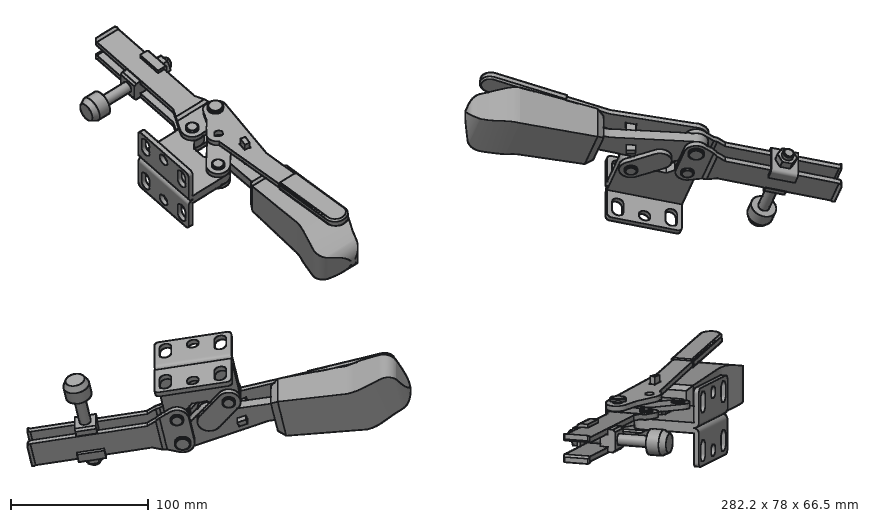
import cadquery as cq
import math


plate = 4.0
core_half = plate
outer_half = core_half + plate
eye_radius = 8.7
pin_radius = 3.7
through_all = 282.2

arm_y = 55.3
pivot_spread = 11.0
pivot_x = 111.2
handle_pivot = (pivot_x, arm_y + pivot_spread)
base_pivot = (pivot_x, arm_y - pivot_spread)
link_base_pivot = (151.2, 35.3)
link_handle_pivot = (134.0, 50.5)

head_height = 1.7
head_chamfer = 0.8
head_radius = 4.8
big_head_radius = 6.0

base_left = 103.0
base_right = link_base_pivot[0] + eye_radius
base_height = 58.5
flange_corner = 3.5
mount_hole = 8.7
slot_length = 15.8
slot_spacing = 40.5
slot_z = 18.0
round_hole_z = 21.5
notch_floor = 34.7
notch_left = 124.2
notch_right = 135.2
notch_entry = 4.8

arm_width = 20.3
arm_gap_half = 5.0
arm_taper_x = 89.0
jog_start = 96.0
jog_end = 99.0
tip_flare_length = 2.5
tip_flare = 1.55
tip_corner = 1.0

spindle_x = 44.3
spindle_radius = 4.2
spindle_top = 78.0
spindle_chamfer = 0.8
foot_radius = 9.5
foot_height = 14.7
foot_chamfer_height = 4.8
foot_chamfer_width = 2.5
saddle_thickness = 2.5
saddle_length = 20.3
saddle_drop = 6.0
nut_corners = 15.0
nut_height = 6.0
guide_length = 15.5
guide_depth = 6.0
guide_half_width = 8.5
guide_chamfer = 1.7
guide_neck_half = 4.5
guide_neck_height = 5.6

bar_top = 61.2
bar_bottom = 46.5
bar_neck_x = 175.5
bar_elbow = (116.5, 54.0)
bar_heel = (141.0, 45.1)
heel_angle = -63
handle_bar_end = 237.0

lever_tilt = 8.1
lever_bottom = outer_half + eye_radius * math.tan(math.radians(lever_tilt))
lever_hole_diameter = 6.5
lever_round_x = 262.7
lever_head_bottom = 14.0
lever_head_top = 16.6
sleeve_start = 208.5
sleeve_wall = 1.5

catch_center = (157.5, 55.5)
catch_length = 6.8
catch_width = 4.0
catch_angle = -12
catch_top = 24.8
catch_bottom = -9.0
catch_clearance = 1.0

overall_length = 282.2
grip_front = 181.5
grip_shoulder_x = 187.0
grip_bottom = 37.5
grip_bend_start = 237.5
grip_bend_end = (242.7, 36.7)
grip_lobe_start = (263.5, 30.8)
grip_lobe_middle = (270.3, 31.0)
grip_lobe_end = (275.0, 35.0)
grip_crown_x = 246.5
grip_crown_y = 72.5
grip_cap_x = 274.0
grip_front_half = 10.2
grip_shoulder_half = 13.3
grip_crown_half = 17.0
grip_cap_half = 11.9


def tangent_point(point, center, radius, side):
    """Point where a line from `point` touches a circle; side +1 is counter-clockwise."""
    dx = point[0] - center[0]
    dy = point[1] - center[1]
    angle = math.atan2(dy, dx) + side * math.acos(radius / math.hypot(dx, dy))
    return polar_point(center, radius, angle)


def polar_point(center, radius, angle):
    return center[0] + radius * math.cos(angle), center[1] + radius * math.sin(angle)


def pin(center, z_bottom, z_top, radius=pin_radius):
    return cq.Workplane("XY", origin=(*center, z_bottom)).circle(radius).extrude(z_top - z_bottom)


def rivet_head(center, radius, z, height, direction):
    """Chamfered head that stands on the plane at height z."""
    head = cq.Workplane("XY", origin=(*center, z)).circle(radius).extrude(direction * height)
    return head.faces(">Z" if direction > 0 else "<Z").chamfer(head_chamfer)


def headed_rivet(center, radius=head_radius):
    rivet = pin(center, -outer_half, outer_half)
    for direction in (1, -1):
        rivet = rivet.union(rivet_head(center, radius, direction * outer_half, head_height, direction))
    return rivet


def make_base():
    cx, cy = base_pivot
    lx, ly = link_base_pivot
    left_ear_end = (notch_left - notch_entry, notch_floor + notch_entry)
    right_ear_start = tangent_point((notch_right, notch_floor), link_base_pivot, eye_radius, -1)
    web = (
        cq.Workplane("XY", origin=(0, 0, -core_half))
        .moveTo(base_left, 0)
        .lineTo(base_left, cy)
        .threePointArc((cx, cy + eye_radius), (cx + eye_radius, cy))
        .lineTo(*left_ear_end)
        .lineTo(notch_left, notch_floor)
        .lineTo(notch_right, notch_floor)
        .lineTo(*right_ear_start)
        .threePointArc((lx, ly + eye_radius), (base_right, ly))
        .lineTo(base_right, 0)
        .close()
        .extrude(2 * core_half)
    )
    flange = cq.Workplane("XY").box(
        base_right - base_left, plate, base_height, centered=(False, False, True)
    )
    flange = flange.edges("|Y").fillet(flange_corner)
    base = web.union(flange.translate((base_left, 0, 0)))

    bend_middle = plate * (1 - math.sqrt(0.5))
    groove = (
        cq.Workplane("YZ", origin=(base_left, 0, 0))
        .moveTo(0, plate)
        .threePointArc((bend_middle, bend_middle), (plate, 0))
        .threePointArc((bend_middle, -bend_middle), (0, -plate))
        .close()
        .extrude(base_right - base_left)
    )
    base = base.cut(groove)

    center_x = (base_left + base_right) / 2
    drill = cq.Workplane("XZ", origin=(center_x, plate, 0))
    slots = [(x, z) for x in (-slot_spacing / 2, slot_spacing / 2) for z in (-slot_z, slot_z)]
    base = base.cut(drill.pushPoints(slots).slot2D(slot_length, mount_hole, 90).extrude(plate))
    holes = [(0, -round_hole_z), (0, round_hole_z)]
    base = base.cut(drill.pushPoints(holes).circle(mount_hole / 2).extrude(plate))

    for pivot in (base_pivot, link_base_pivot):
        base = base.cut(pin(pivot, -core_half, core_half))
    return base


def make_arm_plate():
    top = arm_y + arm_width / 2
    bottom = arm_y - arm_width / 2
    right = pivot_x + eye_radius
    upper_touch = tangent_point((arm_taper_x, top), handle_pivot, eye_radius, -1)
    lower_touch = tangent_point((arm_taper_x, bottom), base_pivot, eye_radius, 1)
    outline = (
        cq.Workplane("XY")
        .moveTo(0, bottom + tip_corner)
        .lineTo(0, top - tip_corner)
        .lineTo(tip_corner, top)
        .lineTo(arm_taper_x, top)
        .lineTo(*upper_touch)
        .threePointArc(polar_point(handle_pivot, eye_radius, math.radians(45)), (right, handle_pivot[1]))
        .lineTo(right, base_pivot[1])
        .threePointArc(polar_point(base_pivot, eye_radius, math.radians(-45)), lower_touch)
        .lineTo(arm_taper_x, bottom)
        .lineTo(tip_corner, bottom)
        .close()
        .extrude(through_all)
    )
    inner_edge = [
        (0, arm_gap_half + tip_flare),
        (tip_flare_length, arm_gap_half),
        (jog_start, arm_gap_half),
        (jog_end, core_half),
        (right, core_half),
    ]
    outer_edge = [(x, z + plate) for x, z in reversed(inner_edge)]
    sheet = cq.Workplane("XZ").polyline(inner_edge + outer_edge).close().extrude(-through_all)
    return sheet.intersect(outline)


def make_arm():
    arm_plate = make_arm_plate()
    arm = arm_plate.union(arm_plate.mirror("XY"))
    arm = arm.union(headed_rivet(base_pivot))
    arm = arm.union(pin(handle_pivot, -outer_half, lever_head_top))
    arm = arm.union(rivet_head(handle_pivot, big_head_radius, -outer_half, head_height, -1))
    lever_head_height = lever_head_top - lever_head_bottom
    return arm.union(rivet_head(handle_pivot, big_head_radius, lever_head_bottom, lever_head_height, 1))


def make_links():
    dx = link_handle_pivot[0] - link_base_pivot[0]
    dy = link_handle_pivot[1] - link_base_pivot[1]
    middle = (link_base_pivot[0] + dx / 2, link_base_pivot[1] + dy / 2)
    length = math.hypot(dx, dy) + 2 * eye_radius
    angle = math.degrees(math.atan2(dy, dx))
    link = (
        cq.Workplane("XY", origin=(*middle, core_half))
        .slot2D(length, 2 * eye_radius, angle)
        .extrude(plate)
    )
    links = link.union(link.mirror("XY"))
    links = links.union(pin(link_handle_pivot, -outer_half, outer_half))
    return links.union(headed_rivet(link_base_pivot))


def make_bar(tail_x, along, round_tail):
    """Flat bar on Z = 0; `along` turns an X place into a distance along the bar."""
    pivot = (along(handle_pivot[0]), handle_pivot[1])
    link_eye = (along(link_handle_pivot[0]), link_handle_pivot[1])
    neck = (along(bar_neck_x), bar_top)
    elbow = (along(bar_elbow[0]), bar_elbow[1])
    heel = (along(bar_heel[0]), bar_heel[1])
    tail = along(tail_x)
    tail_middle = (tail + (bar_top - bar_bottom) / 2, (bar_top + bar_bottom) / 2)
    eye_end = polar_point(link_eye, eye_radius, math.radians(heel_angle))
    bar = (
        cq.Workplane("XY")
        .moveTo(*neck)
        .lineTo(*tangent_point(neck, pivot, eye_radius, 1))
        .threePointArc((pivot[0] - eye_radius, pivot[1]), tangent_point(elbow, pivot, eye_radius, -1))
        .lineTo(*elbow)
        .lineTo(*tangent_point(elbow, link_eye, eye_radius, 1))
        .threePointArc((link_eye[0], link_eye[1] - eye_radius), eye_end)
        .lineTo(*heel)
        .lineTo(tail, bar_bottom)
    )
    if round_tail:
        bar = bar.threePointArc(tail_middle, (tail, bar_top))
    else:
        bar = bar.lineTo(tail, bar_top)
    return bar.close()


def make_catch_block(clearance=0.0):
    return (
        cq.Workplane("XY", origin=(*catch_center, catch_bottom))
        .transformed(rotate=(0, 0, catch_angle))
        .rect(catch_length + clearance, catch_width + clearance)
        .extrude(catch_top - catch_bottom)
    )


def make_handle():
    bar = make_bar(handle_bar_end, lambda x: x, round_tail=False).extrude(2 * core_half)
    handle = bar.translate((0, 0, -core_half)).union(make_catch_block())
    for pivot in (handle_pivot, link_handle_pivot):
        handle = handle.cut(pin(pivot, -core_half, core_half))
    return handle


def along_lever(x):
    return pivot_x + (x - pivot_x) / math.cos(math.radians(lever_tilt))


def tilt_lever(body):
    turned = body.rotate((pivot_x, 0, 0), (pivot_x, 1, 0), -lever_tilt)
    return turned.translate((0, 0, lever_bottom))


def make_lever():
    flat = make_bar(lever_round_x, along_lever, round_tail=True).extrude(plate)
    hole_center = (along_lever(link_handle_pivot[0]), link_handle_pivot[1])
    flat = flat.cut(pin(hole_center, 0, plate, lever_hole_diameter / 2))
    lever = tilt_lever(flat)
    lever = lever.cut(pin(handle_pivot, 0, lever_head_bottom))
    return lever.cut(make_catch_block(catch_clearance))


def make_sleeve(lever):
    start = along_lever(sleeve_start)
    tail = along_lever(lever_round_x)
    top = bar_top + sleeve_wall
    bottom = bar_bottom - sleeve_wall
    sleeve = (
        cq.Workplane("XY", origin=(0, 0, -sleeve_wall))
        .moveTo(start, bottom)
        .lineTo(tail, bottom)
        .threePointArc((tail + (top - bottom) / 2, (top + bottom) / 2), (tail, top))
        .lineTo(start, top)
        .close()
        .extrude(plate + 2 * sleeve_wall)
    )
    sleeve = sleeve.faces("<Z or >Z").edges("not(<X)").chamfer(sleeve_wall)
    return tilt_lever(sleeve).cut(lever)


def make_grip(handle):
    plan = (
        cq.Workplane("XY", origin=(0, 0, -grip_crown_half))
        .moveTo(grip_front, 40.5)
        .lineTo(grip_shoulder_x, grip_bottom)
        .lineTo(grip_bend_start, grip_bottom)
        .threePointArc((240.0, 37.2), grip_bend_end)
        .lineTo(*grip_lobe_start)
        .threePointArc(grip_lobe_middle, grip_lobe_end)
        .lineTo(281.5, 50.2)
        .threePointArc((281.5, 57.0), (274.8, 62.6))
        .lineTo(268.0, 65.0)
        .lineTo(256.0, 70.5)
        .threePointArc((251.0, 72.0), (grip_crown_x, grip_crown_y))
        .lineTo(grip_shoulder_x, 70.0)
        .lineTo(grip_front, 66.5)
        .close()
        .extrude(2 * grip_crown_half)
    )
    taper_middle = (260.5, 15.0)
    side = (
        cq.Workplane("XZ")
        .moveTo(grip_front, -grip_front_half)
        .lineTo(grip_shoulder_x, -grip_shoulder_half)
        .lineTo(grip_crown_x, -grip_crown_half)
        .threePointArc((taper_middle[0], -taper_middle[1]), (grip_cap_x, -grip_cap_half))
        .threePointArc((overall_length, 0), (grip_cap_x, grip_cap_half))
        .threePointArc(taper_middle, (grip_crown_x, grip_crown_half))
        .lineTo(grip_shoulder_x, grip_shoulder_half)
        .lineTo(grip_front, grip_front_half)
        .close()
        .extrude(-through_all)
    )
    return plan.intersect(side).cut(handle)


def make_spindle():
    arm_top = arm_y + arm_width / 2
    arm_bottom = arm_y - arm_width / 2
    arm_outer = arm_gap_half + plate
    saddle_top = arm_top + saddle_thickness
    saddle_half = arm_outer + saddle_thickness

    spindle = (
        cq.Workplane("XY")
        .polyline([
            (0, 0),
            (foot_radius - foot_chamfer_width, 0),
            (foot_radius, foot_chamfer_height),
            (foot_radius, foot_height),
            (spindle_radius, foot_height),
            (spindle_radius, spindle_top - spindle_chamfer),
            (spindle_radius - spindle_chamfer, spindle_top),
            (0, spindle_top),
        ])
        .close()
        .revolve(360, (0, 0, 0), (0, 1, 0))
    )

    guide = cq.Workplane("XY").box(guide_length, guide_depth, 2 * guide_half_width)
    guide = guide.faces("<Y").edges("|X").chamfer(guide_chamfer)
    guide = guide.translate((0, arm_bottom - guide_depth / 2, 0))
    neck = cq.Workplane("XY").box(guide_length, guide_neck_height, 2 * guide_neck_half)
    neck = neck.translate((0, arm_bottom + guide_neck_height / 2, 0))

    saddle_height = saddle_thickness + saddle_drop
    saddle = cq.Workplane("XY").box(saddle_length, saddle_height, 2 * saddle_half)
    saddle = saddle.faces(">Y").edges("|X").fillet(saddle_thickness)
    saddle = saddle.translate((0, saddle_top - saddle_height / 2, 0))
    arm_space = cq.Workplane("XY").box(saddle_length, saddle_drop, 2 * arm_outer)
    saddle = saddle.cut(arm_space.translate((0, arm_top - saddle_drop / 2, 0)))

    nut = cq.Workplane("XZ", origin=(0, saddle_top, 0)).polygon(6, nut_corners).extrude(-nut_height)

    for piece in (guide, neck, saddle, nut):
        spindle = spindle.union(piece)
    return spindle.translate((spindle_x, 0, 0))


base = make_base()
arm = make_arm()
links = make_links()
handle = make_handle()
grip = make_grip(handle)
lever = make_lever()
sleeve = make_sleeve(lever)
spindle = make_spindle()

bodies = [base, arm, links, handle, grip, lever, sleeve, spindle]
result = cq.Compound.makeCompound([body.solids().val() for body in bodies])